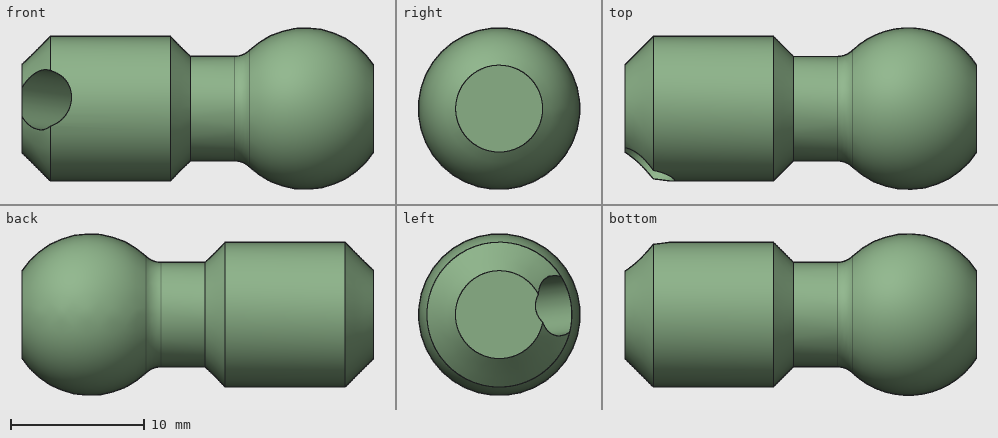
import cadquery as cq
import math

length = 26.42

shank_radius = 5.45
end_chamfer = 2.15
shank_end = 11.15

neck_radius = 3.94
neck_fillet = 1.59

ball_radius = 6.08
ball_center = 21.3

hole_radius = 2.27
hole_depth = 6.35
hole_tip_half_angle = math.radians(59)
hole_mouth = cq.Vector(1.66, -4.25, 0.65)
hole_heading = math.radians(45)
hole_dip = math.radians(5)
hole_clearance = 5.28

neck_start = shank_end + shank_radius - neck_radius
ball_face_radius = math.sqrt(ball_radius**2 - (length - ball_center) ** 2)

fillet_center_radius = neck_radius + neck_fillet
center_distance = ball_radius + neck_fillet
fillet_center_x = ball_center - math.sqrt(center_distance**2 - fillet_center_radius**2)
contact_share = ball_radius / center_distance
contact_x = ball_center + (fillet_center_x - ball_center) * contact_share
contact_radius = fillet_center_radius * contact_share

contact_angle = math.atan2(ball_center - fillet_center_x, fillet_center_radius)
fillet_mid = (
    fillet_center_x + neck_fillet * math.sin(contact_angle / 2),
    fillet_center_radius - neck_fillet * math.cos(contact_angle / 2),
)


def make_body():
    """Revolve the half outline of shank, neck and ball about X."""
    outline = (
        cq.Workplane("XY")
        .lineTo(0, shank_radius - end_chamfer)
        .lineTo(end_chamfer, shank_radius)
        .lineTo(shank_end, shank_radius)
        .lineTo(neck_start, neck_radius)
        .lineTo(fillet_center_x, neck_radius)
        .threePointArc(fillet_mid, (contact_x, contact_radius))
        .threePointArc((ball_center, ball_radius), (length, ball_face_radius))
        .lineTo(length, 0)
        .close()
    )
    return outline.revolve(360, (0, 0, 0), (1, 0, 0))


def make_hole():
    """Drill-shaped cutter running inward and slightly down through the hole mouth."""
    direction = cq.Vector(
        math.cos(hole_heading) * math.cos(hole_dip),
        math.sin(hole_heading) * math.cos(hole_dip),
        -math.sin(hole_dip),
    )
    start = hole_mouth - direction * hole_clearance
    wall_end = hole_mouth + direction * hole_depth
    tip_height = hole_radius / math.tan(hole_tip_half_angle)
    shaft = cq.Solid.makeCylinder(hole_radius, hole_clearance + hole_depth, start, direction)
    tip = cq.Solid.makeCone(hole_radius, 0, tip_height, wall_end, direction)
    return cq.Workplane(obj=shaft.fuse(tip))


result = make_body().cut(make_hole())